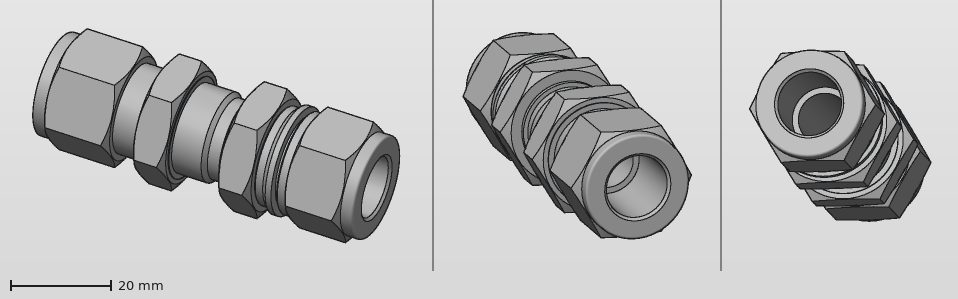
import cadquery as cq
import math

LENGTH = 71.2
OVERCUT = 0.7

NUT_FLATS = 22.15
BULKHEAD_FLATS = 23.8
HEX_CHAMFER_ANGLE = 30.0
NUT_FACE_DIAMETER = 21.8
BULKHEAD_FACE_DIAMETER = 23.6

COLLAR_LENGTH = 2.8
LEFT_NUT_END = 17.2
LOCKNUT_START = 22.9
LOCKNUT_LENGTH = 7.2
WASHER_FACE_THICKNESS = 0.2
THREAD_END = 37.8
NECK_END = 40.8
BODY_HEX_START = 41.8
BODY_HEX_END = 49.05
SEAL_CONE_START = 51.0
SEAL_RIM_START = 52.05
SEAL_RIM_END = 53.3
NUT_SKIRT_START = 54.1
RIGHT_NUT_START = 56.1

COLLAR_DIAMETER = 21.8
COLLAR_EDGE = 0.5
BODY_DIAMETER = 19.1
WASHER_FACE_DIAMETER = 21.5
NECK_DIAMETER = 17.2
SEAL_HUB_DIAMETER = 20.9
SEAL_RIM_DIAMETER = 23.0
NUT_SKIRT_DIAMETER = 21.65
RING_EDGE_CHAMFER = 0.3

BORE_DIAMETER = 10.4
SOCKET_DIAMETER = 12.9
SOCKET_DEPTH = 17.1
MOUTH_CHAMFER = 0.6


def cylinder(start, end, diameter):
    return cq.Workplane("YZ", origin=(start, 0, 0)).circle(diameter / 2).extrude(end - start)


def cone(start, end, start_diameter, end_diameter):
    return cq.Workplane("XY").add(
        cq.Solid.makeCone(
            start_diameter / 2, end_diameter / 2, end - start, cq.Vector(start, 0, 0), cq.Vector(1, 0, 0)
        )
    )


def hexagon(start, end, flats, face_diameter):
    """Hexagonal prism whose corners are turned down to a round face at both ends."""
    corners = flats / math.cos(math.pi / 6)
    chamfer_height = (corners - face_diameter) / 2
    chamfer_length = chamfer_height * math.tan(math.radians(HEX_CHAMFER_ANGLE))
    prism = cq.Workplane("YZ", origin=(start, 0, 0)).polygon(6, corners).extrude(end - start)
    turned_blank = (
        cq.Workplane("XY")
        .moveTo(start, 0)
        .lineTo(start, face_diameter / 2)
        .lineTo(start + chamfer_length, corners / 2)
        .lineTo(end - chamfer_length, corners / 2)
        .lineTo(end, face_diameter / 2)
        .lineTo(end, 0)
        .close()
        .revolve(360, (0, 0, 0), (1, 0, 0))
    )
    return prism.intersect(turned_blank)


def chamfered_ring(start, end, diameter):
    """Round section with its left edge broken by a small chamfer."""
    return cylinder(start, end, diameter).faces("<X").edges().chamfer(RING_EDGE_CHAMFER)


def end_collars():
    """Round collars at both ends with a rounded outer edge."""
    left = cylinder(0, COLLAR_LENGTH, COLLAR_DIAMETER).faces("<X").edges().fillet(COLLAR_EDGE)
    return left.union(left.mirror("YZ", (LENGTH / 2, 0, 0)))


def threaded_body():
    """Thread with a 45 degree run-out, a neck, and the full diameter again up to the right nut."""
    runout = (BODY_DIAMETER - NECK_DIAMETER) / 2
    thread = cylinder(COLLAR_LENGTH, THREAD_END, BODY_DIAMETER).faces(">X").edges().chamfer(runout)
    neck = cylinder(THREAD_END, NECK_END, NECK_DIAMETER)
    return thread.union(neck).union(cylinder(NECK_END, RIGHT_NUT_START, BODY_DIAMETER))


def locknut():
    end = LOCKNUT_START + LOCKNUT_LENGTH
    nut = hexagon(LOCKNUT_START, end, BULKHEAD_FLATS, BULKHEAD_FACE_DIAMETER)
    washer_faces = cylinder(
        LOCKNUT_START - WASHER_FACE_THICKNESS, end + WASHER_FACE_THICKNESS, WASHER_FACE_DIAMETER
    )
    return nut.union(washer_faces)


def sealing_flange():
    """Hub beside the body hexagon that flares out to a short rim."""
    hub = chamfered_ring(BODY_HEX_END, SEAL_CONE_START, SEAL_HUB_DIAMETER)
    flare = cone(SEAL_CONE_START, SEAL_RIM_START, SEAL_HUB_DIAMETER, SEAL_RIM_DIAMETER)
    return hub.union(flare).union(cylinder(SEAL_RIM_START, SEAL_RIM_END, SEAL_RIM_DIAMETER))


def bore():
    """Through bore with a chamfered tube socket from each end."""
    mouth_diameter = SOCKET_DIAMETER + 2 * MOUTH_CHAMFER
    socket = cylinder(0, SOCKET_DEPTH, SOCKET_DIAMETER)
    socket = socket.union(cone(0, MOUTH_CHAMFER, mouth_diameter, SOCKET_DIAMETER))
    through = cylinder(-OVERCUT, LENGTH + OVERCUT, BORE_DIAMETER)
    return through.union(socket).union(socket.mirror("YZ", (LENGTH / 2, 0, 0)))


result = (
    threaded_body()
    .union(end_collars())
    .union(hexagon(COLLAR_LENGTH, LEFT_NUT_END, NUT_FLATS, NUT_FACE_DIAMETER))
    .union(locknut())
    .union(hexagon(BODY_HEX_START, BODY_HEX_END, BULKHEAD_FLATS, BULKHEAD_FACE_DIAMETER))
    .union(sealing_flange())
    .union(chamfered_ring(NUT_SKIRT_START, RIGHT_NUT_START, NUT_SKIRT_DIAMETER))
    .union(hexagon(RIGHT_NUT_START, LENGTH - COLLAR_LENGTH, NUT_FLATS, NUT_FACE_DIAMETER))
    .cut(bore())
)